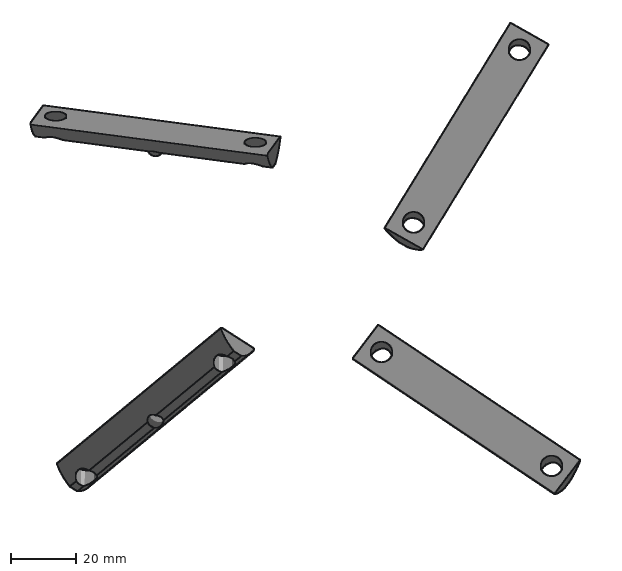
import cadquery as cq

length = 76.0
width = 13.7
bar_height = 7.1
bottom_width = 3.1
flank_mid_half_width = 4.6
flank_mid_depth = 4.25
top_edge_radius = 0.6

hole_diameter = 6.6
hole_end_distance = 6.0

total_height = 8.9
ball_radius = 2.5


def make_bar():
    half_width = width / 2
    half_bottom = bottom_width / 2
    profile = (
        cq.Workplane("YZ", origin=(-length / 2, 0, 0))
        .moveTo(-half_width + top_edge_radius, 0)
        .lineTo(half_width - top_edge_radius, 0)
        .radiusArc((half_width, -top_edge_radius), top_edge_radius)
        .threePointArc((flank_mid_half_width, -flank_mid_depth), (half_bottom, -bar_height))
        .lineTo(-half_bottom, -bar_height)
        .threePointArc((-flank_mid_half_width, -flank_mid_depth), (-half_width, -top_edge_radius))
        .radiusArc((-half_width + top_edge_radius, 0), top_edge_radius)
        .close()
    )
    return profile.extrude(length)


def make_holes():
    hole_x = length / 2 - hole_end_distance
    return (
        cq.Workplane("XY")
        .pushPoints([(-hole_x, 0), (hole_x, 0)])
        .circle(hole_diameter / 2)
        .extrude(-bar_height)
    )


def make_ball():
    return cq.Workplane("XY").sphere(ball_radius).translate((0, 0, ball_radius - total_height))


result = make_bar().cut(make_holes()).union(make_ball())